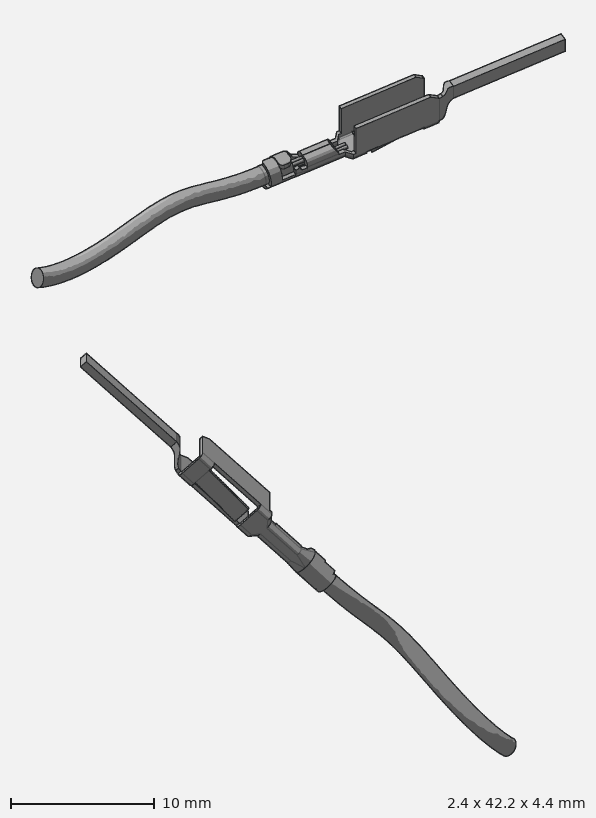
import cadquery as cq
import math


overall_length = 42.15

sheet = 0.3
inner_bend = 0.105
outer_bend = inner_bend + sheet

clip_width = 2.4
clip_half_width = clip_width / 2
clip_height = 3.35
clip_end = -6.6
corner_length = 0.67
corner_drop = 0.5
window_start = -1.2
window_end = -5.75

lance_half_width = 0.67
lance_length = 3.95
lance_angle = 8.4

tail_end = 10.55
tail_half_width = sheet
tail_bottom = 1.0
tail_top = 2.28
tail_start = 1.65
neck_end = 0.3
neck_bottom = 0.45
neck_top = clip_height - corner_drop

channel_half_width = 0.7
channel_height = 0.7
shoulder_start = -6.83
shoulder_end = -7.2

crimp_start = -7.7
crimp_end = -10.2
crimp_height = 1.3
lobe_radius = 0.5
seam_offset = -0.05
crimp_slope_length = 0.3
crimp_slope_drop = 0.42

strand_radius = 0.135
strand_pitch = 0.25
strand_rows = 3
strand_end = -6.75

barrel_diameter = 2.0
barrel_radius = barrel_diameter / 2
barrel_start = -11.3
front_wing_end = -12.3
rear_wing_start = -12.35
barrel_end = -13.25
wing_reach = 0.55
wing_corner = 0.35
barrel_wall_height = 0.9
lip_end = -13.5
lip_height = 0.55

funnel_flat = 0.05
funnel_bend = barrel_radius - funnel_flat / 2
funnel_height = 1.3
funnel_step_start = -10.7
funnel_step_end = -10.95

wire_radius = barrel_radius - sheet
wire_bends = [(-16.6, 1.3), (-20.1, 1.9), (-24.35, 0.67), (-28.65, -0.35)]
wire_tip_height = 0.15
wire_end_slope = math.radians(25.6)
wire_tip_y = tail_end - overall_length + wire_radius * math.sin(wire_end_slope)


def across(y):
    """Plane at the given Y whose normal points towards -Y."""
    return cq.Workplane("XZ", origin=(0, y, 0))


def box(x_range, y_range, z_range):
    """Box between two limits on each axis."""
    spans = [abs(b - a) for a, b in (x_range, y_range, z_range)]
    corner = [min(pair) for pair in (x_range, y_range, z_range)]
    return cq.Workplane("XY").box(*spans, centered=False).translate(tuple(corner))


def side_prism(points):
    """Y-Z outline extended across the full width of the terminal."""
    return cq.Workplane("YZ").polyline(points).close().extrude(clip_half_width, both=True)


def tub_outline(plane, half_width, bend, bottom, top):
    """Rectangle whose two lower corners are rounded by the bend radius."""
    return (
        plane.moveTo(-half_width, top)
        .lineTo(-half_width, bottom + bend)
        .radiusArc((bend - half_width, bottom), -bend)
        .lineTo(half_width - bend, bottom)
        .radiusArc((half_width, bottom + bend), -bend)
        .lineTo(half_width, top)
        .close()
    )


def trough(start, end, first, last):
    """Folded sheet running from one (half width, bend, height) section to another."""
    shells = []
    for inset in (0, sheet):
        plane = across(start)
        for (half_width, bend, height), step in ((first, 0), (last, start - end)):
            plane = tub_outline(
                plane.workplane(offset=step), half_width - inset, bend - inset, inset, height
            )
        shells.append(plane.loft(ruled=True))
    return shells[0].cut(shells[1])


def make_clip():
    section = (clip_half_width, outer_bend, clip_height)
    clip = trough(0, clip_end, section, section)
    corner = [
        (0, clip_height),
        (-corner_length, clip_height),
        (0, clip_height - corner_drop),
    ]
    clip = clip.cut(side_prism(corner))
    window = box(
        (-clip_half_width, clip_half_width), (window_start, window_end), (0, outer_bend)
    )
    return clip.cut(window)


def make_lance():
    lance = box(
        (-lance_half_width, lance_half_width),
        (window_start, window_start - lance_length),
        (0, sheet),
    )
    hinge = (0, window_start, sheet)
    return lance.rotate(hinge, (1, window_start, sheet), lance_angle)


def make_tail():
    wall_inside = clip_half_width - sheet
    plan = (
        cq.Workplane("XY")
        .moveTo(-tail_half_width, tail_end)
        .lineTo(tail_half_width, tail_end)
        .lineTo(tail_half_width, tail_start)
        .spline([(clip_half_width, 0)], tangents=[(0, -1), (0, -1)], includeCurrent=True)
        .lineTo(wall_inside, 0)
        .spline([(-tail_half_width, tail_start)], tangents=[(0, 1), (0, 1)], includeCurrent=True)
        .close()
        .extrude(clip_height)
    )
    side = [
        (tail_end, tail_bottom),
        (tail_end, tail_top),
        (tail_start, tail_top),
        (neck_end, neck_top),
        (0, neck_top),
        (0, neck_bottom),
        (neck_end, neck_bottom),
        (tail_start, tail_bottom),
    ]
    return plan.intersect(side_prism(side))


def make_channel():
    wide = (clip_half_width, outer_bend, channel_height)
    narrow = (channel_half_width, outer_bend, channel_height)
    channel = trough(clip_end, shoulder_start, wide, wide)
    channel = channel.union(trough(shoulder_start, shoulder_end, wide, narrow))
    return channel.union(trough(shoulder_end, crimp_end, narrow, narrow))


def make_crimp():
    length = crimp_start - crimp_end
    lobe_center = channel_half_width - lobe_radius
    lobe_base = crimp_height - lobe_radius
    crimp = tub_outline(across(crimp_start), channel_half_width, outer_bend, 0, lobe_base)
    crimp = crimp.extrude(length)
    for side in (-1, 1):
        lobe = across(crimp_start).center(side * lobe_center, lobe_base).circle(lobe_radius)
        half = box((seam_offset, side * channel_half_width), (crimp_start, crimp_end), (0, crimp_height))
        crimp = crimp.union(lobe.extrude(length).intersect(half))
    slope = [
        (crimp_start, crimp_height),
        (crimp_start - crimp_slope_length, crimp_height),
        (crimp_start, crimp_height - crimp_slope_drop),
    ]
    return crimp.cut(side_prism(slope))


def make_funnel():
    narrow = (channel_half_width, outer_bend, funnel_height)
    wide = (barrel_radius, funnel_bend, funnel_height)
    funnel = trough(crimp_end, barrel_start, narrow, wide)
    edge_cut = [
        (crimp_end, channel_height),
        (funnel_step_start, barrel_wall_height),
        (funnel_step_end, funnel_height),
        (crimp_end, funnel_height),
    ]
    return funnel.cut(side_prism(edge_cut))


def ring(start, end):
    """Stretch of closed barrel wall."""
    return (
        across(start)
        .center(0, barrel_radius)
        .circle(barrel_radius)
        .circle(wire_radius)
        .extrude(start - end)
    )


def make_wing(start, end, side):
    """Wing rising from the given side (-1 or +1) of the cradle and folding over the wire."""
    wall = ring(start, end)
    root = box((0, side * barrel_radius), (start, end), (barrel_wall_height, barrel_radius))
    tongue = box(
        (side * barrel_radius, -side * wing_reach), (start, end), (barrel_radius, 2 * barrel_radius)
    )
    tip = "|Z and >X" if side < 0 else "|Z and <X"
    tongue = tongue.edges(tip).fillet(wing_corner)
    return wall.intersect(root).union(wall.intersect(tongue))


def make_barrel():
    barrel = make_wing(barrel_start, front_wing_end, -1)
    barrel = barrel.union(make_wing(rear_wing_start, barrel_end, 1))
    cradle = (barrel_start, barrel_end, barrel_wall_height)
    lip = (barrel_end, lip_end, lip_height)
    for start, end, height in (cradle, lip):
        lower = box((-barrel_radius, barrel_radius), (start, end), (0, height))
        barrel = barrel.union(ring(start, end).intersect(lower))
    return barrel


def make_strands():
    columns = [-strand_pitch / 2, strand_pitch / 2]
    strands = cq.Workplane("XY")
    for row in range(strand_rows):
        start = strand_end if row == 0 else crimp_end
        height = sheet + (row + 0.5) * strand_pitch
        for x in columns:
            strand = across(start).center(x, height).circle(strand_radius)
            strands = strands.union(strand.extrude(start - barrel_start))
    return strands


def make_wire():
    straight = (
        across(barrel_start)
        .center(0, barrel_radius)
        .circle(wire_radius)
        .extrude(barrel_start - lip_end)
    )
    path = cq.Workplane("YZ").spline(
        [(lip_end, barrel_radius), *wire_bends, (wire_tip_y, wire_tip_height)],
        tangents=[(-1, 0), (-math.cos(wire_end_slope), math.sin(wire_end_slope))],
    )
    bent = across(lip_end).center(0, barrel_radius).circle(wire_radius).sweep(path)
    return straight.union(bent)


result = make_clip()
for piece in (
    make_lance(),
    make_tail(),
    make_channel(),
    make_crimp(),
    make_funnel(),
    make_barrel(),
    make_strands(),
    make_wire(),
):
    result = result.union(piece)